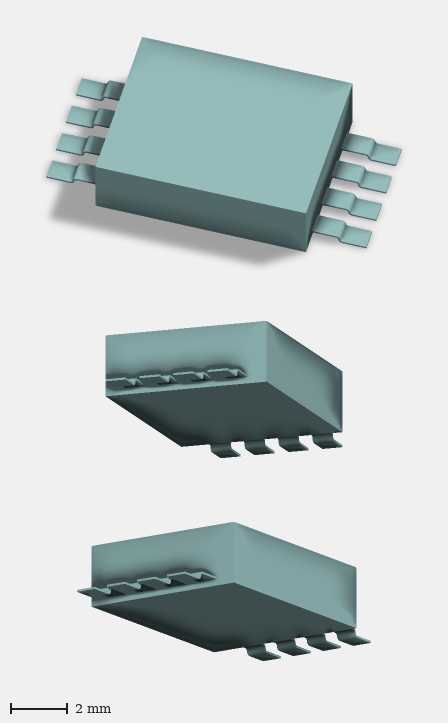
import math

import cadquery as cq

HOUSING_LENGTH = 7.7
HOUSING_WIDTH = 6.05
HOUSING_HEIGHT = 2.21

SPAN = 11.7
LEADS_PER_SIDE = 4
LEAD_PITCH = 1.28
LEAD_WIDTH = 0.75
LEAD_THICKNESS = 0.076
FOOT_LENGTH = 0.87
SHOULDER_RISE = 0.23
BEND_INNER_RADIUS = 0.08
BEND_ANGLE = math.radians(75)

BEND_OUTER_RADIUS = BEND_INNER_RADIUS + LEAD_THICKNESS


def bend_run(radius):
    """X extent of one bend."""
    return radius * math.sin(BEND_ANGLE)


def bend_rise(radius):
    """Z extent of one bend."""
    return radius * (1 - math.cos(BEND_ANGLE))


RISER_RISE = SHOULDER_RISE - bend_rise(BEND_INNER_RADIUS) - bend_rise(BEND_OUTER_RADIUS)
RISER_RUN = RISER_RISE / math.tan(BEND_ANGLE)
S_BEND_RUN = bend_run(BEND_INNER_RADIUS) + RISER_RUN + bend_run(BEND_OUTER_RADIUS)


def make_housing():
    return cq.Workplane("XY").box(
        HOUSING_LENGTH, HOUSING_WIDTH, HOUSING_HEIGHT, centered=(True, True, False)
    )


def add_s_bend(profile, first_radius, second_radius, direction):
    """Continue a level line through both bends: direction 1 climbs toward +X, -1 goes back down."""
    profile = profile.tangentArcPoint(
        (direction * bend_run(first_radius), direction * bend_rise(first_radius))
    )
    profile = profile.line(direction * RISER_RUN, direction * RISER_RISE)
    return profile.tangentArcPoint(
        (direction * bend_run(second_radius), direction * bend_rise(second_radius))
    )


def make_lead(y_center):
    """Lead on the -X side: flat foot, S-bend, then a level shoulder that butts against the housing."""
    tip_x = -SPAN / 2
    housing_face_x = -HOUSING_LENGTH / 2

    profile = cq.Workplane("XZ", origin=(0, y_center, 0)).moveTo(tip_x, 0)
    profile = profile.hLine(FOOT_LENGTH)
    profile = add_s_bend(profile, BEND_OUTER_RADIUS, BEND_INNER_RADIUS, 1)
    profile = profile.hLineTo(housing_face_x)
    profile = profile.vLine(LEAD_THICKNESS)
    profile = profile.hLineTo(tip_x + FOOT_LENGTH + S_BEND_RUN)
    profile = add_s_bend(profile, BEND_OUTER_RADIUS, BEND_INNER_RADIUS, -1)
    profile = profile.hLineTo(tip_x).close()
    return profile.extrude(LEAD_WIDTH / 2, both=True)


def make_leads():
    """Both rows of leads, as separate solids."""
    leads = []
    for index in range(LEADS_PER_SIDE):
        y_center = (index - (LEADS_PER_SIDE - 1) / 2) * LEAD_PITCH
        left_lead = make_lead(y_center)
        right_lead = left_lead.mirror("YZ")
        leads += [left_lead.val(), right_lead.val()]
    return leads


housing = make_housing()
leads = make_leads()

result = cq.Compound.makeCompound([housing.val(), *leads])